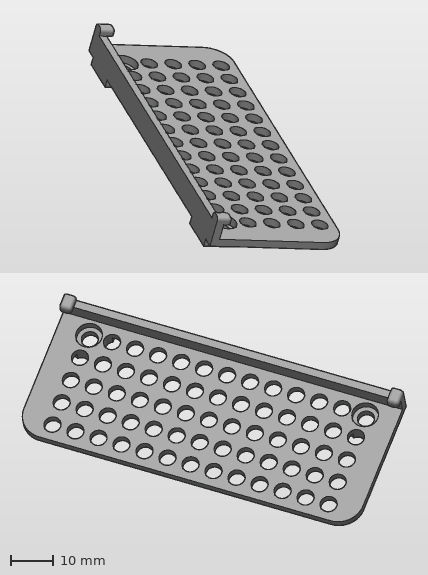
import cadquery as cq

width = 86.0
depth = 35.0
thickness = 2.0
tilt_angle = 15.0
back_corner_radius = 6.0

wall_height = 6.0
hook_top = 8.0
hook_width = 3.0
hook_reach = 3.95
hook_fillet = 1.0

pad_inset = 3.0
pad_width = 10.0
pad_radius = pad_width / 2
pad_center_x = width / 2 - pad_inset - pad_radius

hole_diameter = 4.0
counterbore_diameter = 6.4
columns = 13
rows = 5
first_row_y = 6.0
back_row_margin = 4.0
last_row_y = depth - back_row_margin
column_pitch = 2 * pad_center_x / (columns - 1)
row_pitch = (last_row_y - first_row_y) / (rows - 1)


def block(x_size, y_size, z_bottom, z_top):
    """Box centred in X, starting at the front face."""
    return (
        cq.Workplane("XY", origin=(0, 0, z_bottom))
        .box(x_size, y_size, z_top - z_bottom, centered=(True, False, False))
    )


def make_plate():
    plate = block(width, depth, 0, thickness)
    return plate.edges("|Z and >Y").fillet(back_corner_radius)


def make_hook(side):
    hook = block(hook_width, hook_reach, wall_height, hook_top)
    hook = hook.edges("(>Z and |Y) or (>Y and |Z) or (>Y and >Z)").fillet(hook_fillet)
    return hook.translate((side * (width - hook_width) / 2, 0, 0))


def make_pad(side):
    straight = block(pad_width, first_row_y, -thickness, 0)
    rounded = cq.Workplane("XY").center(0, first_row_y).circle(pad_radius).extrude(-thickness)
    return straight.union(rounded).translate((side * pad_center_x, 0, 0))


def make_holes():
    grid_center_y = (first_row_y + last_row_y) / 2
    return (
        cq.Workplane("XY", origin=(0, grid_center_y, -thickness))
        .rarray(column_pitch, row_pitch, columns, rows)
        .circle(hole_diameter / 2)
        .extrude(2 * thickness)
    )


def make_counterbores():
    screw_points = [(-pad_center_x, first_row_y), (pad_center_x, first_row_y)]
    return cq.Workplane("XY").pushPoints(screw_points).circle(counterbore_diameter / 2).extrude(thickness)


tray = make_plate().union(block(width, thickness, 0, wall_height))
for side in (-1, 1):
    tray = tray.union(make_hook(side)).union(make_pad(side))
tray = tray.cut(make_holes()).cut(make_counterbores())

result = tray.rotate((0, 0, 0), (1, 0, 0), -tilt_angle)